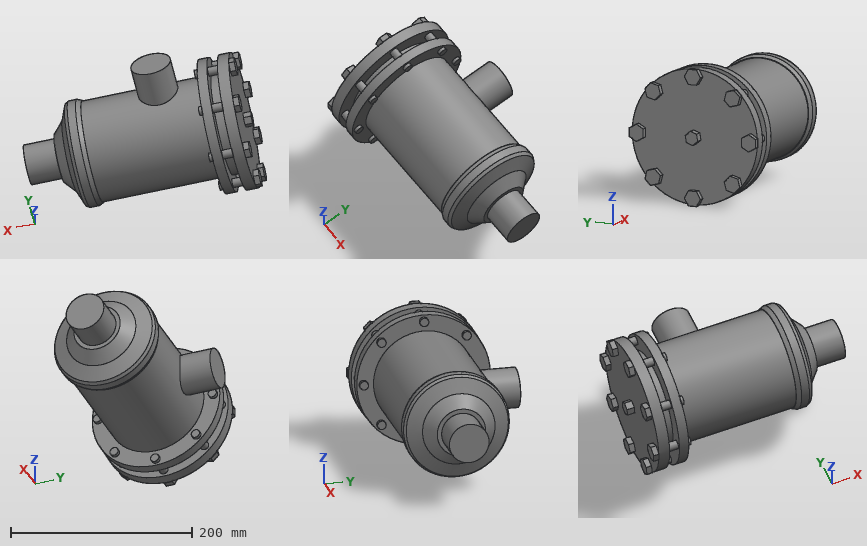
import cadquery as cq
import math

overall_length = 254.5

cover_diameter = 153.0
cover_start = 8.7
cover_end = 21.6
flange_diameter = 152.0
flange_start = 33.5
flange_end = 44.8

bolt_count = 8
bolt_circle_radius = 68.5
bolt_diameter = 10.0
bolt_end = 48.5
bolt_head_flats = 17.0
bolt_head_start = 2.3

plug_flats = 14.0
plug_turn = 20.0

shell_diameter = 114.0
collar_diameter = 120.5
cap_start = 181.0
cap_start_radius = 57.8
collar_start = 186.3
collar_end = 195.7
shoulder_end = 199.5
shoulder_radius = 58.0
cone_break = 206.5
cone_break_radius = 41.2
cap_end = 218.5
cap_end_radius = 27.5

pipe_diameter = 45.0
port_x = 93.5
port_end_y = 93.0


def disc(diameter, start, end):
    """Cylinder along X between two stations."""
    return cq.Workplane("YZ", origin=(start, 0, 0)).circle(diameter / 2).extrude(end - start)


def hexagon(flats, start, end):
    """Hexagonal prism along X with one pair of flats facing +Z and -Z."""
    corner_diameter = flats / math.cos(math.pi / 6)
    return cq.Workplane("YZ", origin=(start, 0, 0)).polygon(6, corner_diameter).extrude(end - start)


def turn(body, angle):
    """Rotate a body about the vessel axis."""
    return body.rotate((0, 0, 0), (1, 0, 0), angle)


def end_cap():
    """Collar and two-stage cone, revolved about the vessel axis."""
    return (
        cq.Workplane("XY")
        .moveTo(cap_start, 0)
        .lineTo(cap_start, cap_start_radius)
        .lineTo(collar_start, collar_diameter / 2)
        .lineTo(collar_end, collar_diameter / 2)
        .lineTo(shoulder_end, shoulder_radius)
        .lineTo(cone_break, cone_break_radius)
        .lineTo(cap_end, cap_end_radius)
        .lineTo(cap_end, 0)
        .close()
        .revolve(360, (0, 0, 0), (1, 0, 0))
    )


def bolt():
    """Bolt at the top of the bolt circle, with a head flat facing outward."""
    head = hexagon(bolt_head_flats, bolt_head_start, cover_start)
    shank = disc(bolt_diameter, cover_start, bolt_end)
    return head.union(shank).translate((0, 0, bolt_circle_radius))


def side_port():
    """Pipe rising from the vessel axis toward +Y."""
    return (
        cq.Workplane("XZ", origin=(port_x, 0, 0))
        .circle(pipe_diameter / 2)
        .extrude(-port_end_y)
    )


result = disc(shell_diameter, cover_end, cap_start)
result = result.union(end_cap())
result = result.union(disc(pipe_diameter, cap_end, overall_length))
result = result.union(side_port())

result = result.union(disc(flange_diameter, flange_start, flange_end))
result = result.union(disc(cover_diameter, cover_start, cover_end))
result = result.union(turn(hexagon(plug_flats, 0, cover_start), plug_turn))
for index in range(bolt_count):
    result = result.union(turn(bolt(), index * 360 / bolt_count))